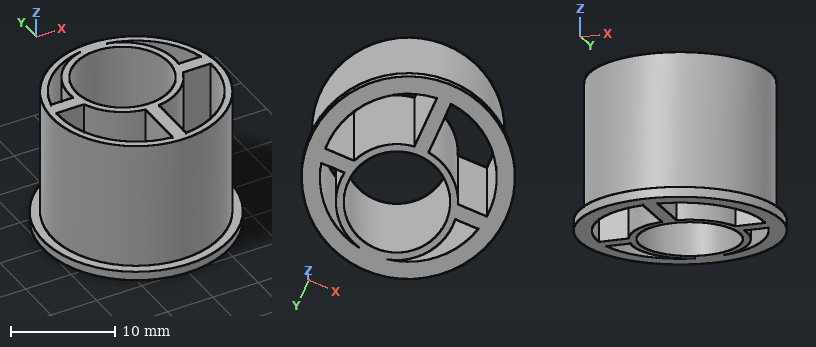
import cadquery as cq

total_height = 15.0
flange_diameter = 20.5
flange_thickness = 1.0
sleeve_diameter = 18.5
wall = 0.75
sleeve_bore = sleeve_diameter - 2 * wall

tube_bore = 10.2
tube_diameter = tube_bore + 2 * wall
tube_offset = 2.69

rib_thickness = 1.5
cross_rib_offset = 1.27


def cylinder(diameter, height, y=0.0):
    """Upright cylinder standing on the base plane."""
    return cq.Workplane("XY").center(0, y).circle(diameter / 2).extrude(height)


def make_sleeve():
    body = cylinder(sleeve_diameter, total_height)
    flange = cylinder(flange_diameter, flange_thickness)
    return body.union(flange).cut(cylinder(sleeve_bore, total_height))


def make_ribs():
    reach = sleeve_bore / 2 + wall / 2
    base = cq.Workplane("XY")
    cross_rib = (
        base.center(0, cross_rib_offset)
        .rect(2 * reach, rib_thickness)
        .extrude(total_height)
    )
    lower_rib_length = reach + cross_rib_offset
    lower_rib = (
        base.center(0, cross_rib_offset - lower_rib_length / 2)
        .rect(rib_thickness, lower_rib_length)
        .extrude(total_height)
    )
    return cross_rib.union(lower_rib).intersect(cylinder(sleeve_diameter, total_height))


tube = cylinder(tube_diameter, total_height, tube_offset)
tube_hole = cylinder(tube_bore, total_height, tube_offset)

result = make_sleeve().union(make_ribs()).union(tube).cut(tube_hole)